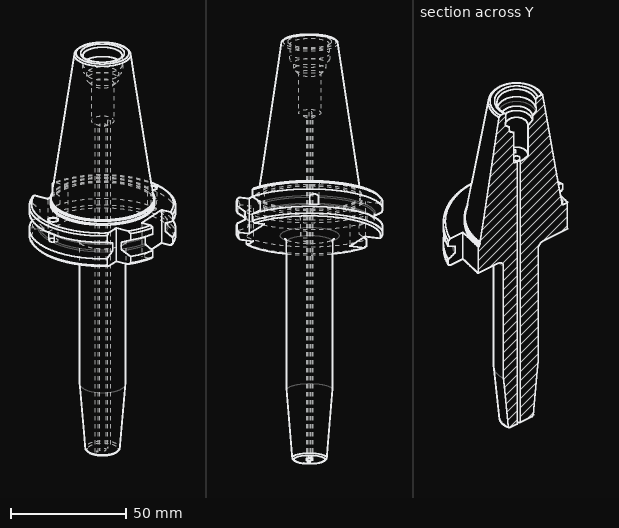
import cadquery as cq
import math

total_length = 188.4
nose_height = 31.5
flange_bottom = 101.0
flange_top = 116.8
collar_top = 119.3
groove_mid = 108.9

nose_tip_d = 15.0
shank_d = 20.0
flange_d = 63.5
groove_d = 56.1
collar_d = 45.2
taper_large_d = 44.5
taper_small_d = 24.5

relief_bottom = 117.5
relief_top = 118.7
relief_depth = 0.4

nose_chamfer = 0.8
shank_fillet = 2.8
flange_chamfer = 1.0
taper_chamfer = 0.8

groove_floor_width = 3.5
groove_corner_r = 0.8
groove_wall_angle = 60.0

drive_slot_width = 16.2
drive_slot_floor_left = 22.8
drive_slot_floor_right = 25.0
notch_corner = 18.5

mouth_d = 19.0
pilot_d = 17.0
pilot_depth = 8.1
pilot_relief_width = 2.6
pilot_relief_depth = 0.4
thread_d = 14.0
thread_depth = 12.2
cavity_d = 9.8
cavity_depth = 32.0
drill_tip_angle = 118.0
tool_bore_d = 3.0

hole_azimuth = 70.0
flange_hole_d = 4.1
flange_hole_mouth_d = 4.5
flange_hole_radius = 27.1
jet_d = 1.3
jet_radius = 3.4


def drill_tip_height(large_d, small_d):
    """Height of the cone a drill leaves between two diameters."""
    return (large_d - small_d) / 2 / math.tan(math.radians(drill_tip_angle / 2))


def make_body():
    """Revolve the outside of the holder: nose, shank, flange and taper."""
    nose_r = nose_tip_d / 2
    shank_r = shank_d / 2
    flange_r = flange_d / 2
    floor_r = groove_d / 2
    taper_r = taper_small_d / 2
    relief_mid = (relief_bottom + relief_top) / 2
    half_floor = groove_floor_width / 2
    half_mouth = half_floor + (flange_r - floor_r) / math.tan(math.radians(groove_wall_angle))
    fillet_mid_r = shank_r + shank_fillet * (1 - math.sqrt(0.5))
    fillet_mid_z = flange_bottom - shank_fillet * (1 - math.sqrt(0.5))

    outline = (
        cq.Workplane("XZ")
        .moveTo(0, 0)
        .lineTo(nose_r - nose_chamfer, 0)
        .lineTo(nose_r, nose_chamfer)
        .lineTo(shank_r, nose_height)
        .lineTo(shank_r, flange_bottom - shank_fillet)
        .threePointArc((fillet_mid_r, fillet_mid_z), (shank_r + shank_fillet, flange_bottom))
        .lineTo(flange_r - flange_chamfer, flange_bottom)
        .lineTo(flange_r, flange_bottom + flange_chamfer)
        .lineTo(flange_r, groove_mid - half_mouth)
        .lineTo(floor_r, groove_mid - half_floor)
        .lineTo(floor_r, groove_mid + half_floor)
        .lineTo(flange_r, groove_mid + half_mouth)
        .lineTo(flange_r, flange_top - flange_chamfer)
        .lineTo(flange_r - flange_chamfer, flange_top)
        .lineTo(collar_d / 2, flange_top)
        .lineTo(collar_d / 2, relief_bottom)
        .threePointArc((collar_d / 2 - relief_depth, relief_mid), (collar_d / 2, relief_top))
        .lineTo(collar_d / 2, collar_top)
        .lineTo(taper_large_d / 2, collar_top)
        .lineTo(taper_r, total_length - taper_chamfer)
        .lineTo(taper_r - taper_chamfer, total_length)
        .lineTo(0, total_length)
        .close()
    )
    body = outline.revolve(360, (0, 0, 0), (0, 1, 0))
    half_band = (half_floor + half_mouth) / 2
    floor_band = cq.selectors.BoxSelector(
        (-flange_r, -flange_r, groove_mid - half_band),
        (flange_r, flange_r, groove_mid + half_band),
    )
    return body.edges(floor_band).edges("%CIRCLE").fillet(groove_corner_r)


def make_bore():
    """Stepped bore from the small end, running down to the tool bore."""
    mouth_depth = (mouth_d - pilot_d) / 2
    relief_end = total_length - pilot_depth
    relief_start = relief_end + pilot_relief_width
    relief_middle = (relief_start + relief_end) / 2
    thread_lead = (pilot_d - thread_d) / 2
    cavity_lead = (thread_d - cavity_d) / 2
    tip_depth = drill_tip_height(cavity_d, tool_bore_d)
    outline = (
        cq.Workplane("XZ")
        .moveTo(0, total_length)
        .lineTo(mouth_d / 2, total_length)
        .lineTo(pilot_d / 2, total_length - mouth_depth)
        .lineTo(pilot_d / 2, relief_start)
        .threePointArc((pilot_d / 2 + pilot_relief_depth, relief_middle), (pilot_d / 2, relief_end))
        .lineTo(thread_d / 2, total_length - pilot_depth - thread_lead)
        .lineTo(thread_d / 2, total_length - thread_depth)
        .lineTo(cavity_d / 2, total_length - thread_depth - cavity_lead)
        .lineTo(cavity_d / 2, total_length - cavity_depth)
        .lineTo(tool_bore_d / 2, total_length - cavity_depth - tip_depth)
        .lineTo(tool_bore_d / 2, 0)
        .lineTo(0, 0)
        .close()
    )
    return outline.revolve(360, (0, 0, 0), (0, 1, 0))


def flange_box(x_min, x_max, y_min, y_max):
    """Block over the flange height, for cutting its rim."""
    height = flange_top - flange_bottom
    return (
        cq.Workplane("XY")
        .box(x_max - x_min, y_max - y_min, height, centered=False)
        .translate((x_min, y_min, flange_bottom))
    )


def make_rim_cuts():
    """Two drive slots of unequal depth and one corner notch."""
    rim = flange_d / 2
    half_slot = drive_slot_width / 2
    left_slot = flange_box(-rim, -drive_slot_floor_left, -half_slot, half_slot)
    right_slot = flange_box(drive_slot_floor_right, rim, -half_slot, half_slot)
    notch = flange_box(notch_corner, rim, -rim, -notch_corner)
    return left_slot.union(right_slot).union(notch)


def opposed_pair(profile, radius):
    """Revolve a profile drawn in X and Z about Z and place it on both sides of the axis."""
    tool = profile.close().revolve(360, (0, 0, 0), (0, 1, 0)).translate((radius, 0, 0))
    first = tool.rotate((0, 0, 0), (0, 0, 1), hole_azimuth)
    return first.union(first.rotate((0, 0, 0), (0, 0, 1), 180))


def make_flange_holes():
    """Chamfered blind holes through the upper rim, drilled down past the groove."""
    hole_r = flange_hole_d / 2
    mouth_r = flange_hole_mouth_d / 2
    floor = groove_mid - groove_floor_width / 2
    profile = (
        cq.Workplane("XZ")
        .moveTo(0, flange_top)
        .lineTo(mouth_r, flange_top)
        .lineTo(hole_r, flange_top - (mouth_r - hole_r))
        .lineTo(hole_r, floor)
        .lineTo(0, floor - drill_tip_height(flange_hole_d, 0))
    )
    return opposed_pair(profile, flange_hole_radius)


def make_jets():
    """Coolant jets beside the tool bore, from the nose face up into the cavity."""
    top = total_length - cavity_depth
    profile = cq.Workplane("XZ").lineTo(jet_d / 2, 0).lineTo(jet_d / 2, top).lineTo(0, top)
    return opposed_pair(profile, jet_radius)


result = make_body().cut(make_bore()).cut(make_rim_cuts()).cut(make_flange_holes()).cut(make_jets())